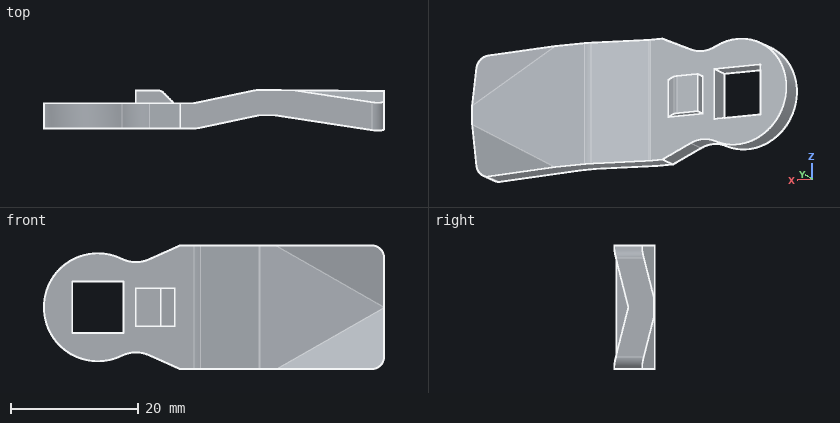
import cadquery as cq
import math

length = 53.5
width = 19.5
thickness = 4.0
half_width = width / 2

eye_radius = 8.5
square_side = 8.0
x_end = length - eye_radius

neck_radius = 5.05
neck_x = 6.0
shoulder_x = 12.95
corner_radius = 2.0

bend_1_x = 15.55
bend_2_x = 25.35
bend_angle = 12.0
blade_tilt = 0.5
inner_bend_radius = 1.0
outer_bend_radius = inner_bend_radius + thickness

lug_x = 5.95
lug_width = 6.0
lug_height = 2.0
boss_end_x = 11.95
boss_round = 1.0
pocket_ramp_x = 9.9
pocket_end_x = 12.1

front_fold_x = 27.95
back_fold_x = 30.6
flank_drop = 2.45

bend_slope = math.tan(math.radians(bend_angle))
tilt_slope = math.tan(math.radians(blade_tilt))
bend_2_y = (bend_2_x - bend_1_x) * bend_slope
blade_thickness = thickness / math.cos(math.radians(blade_tilt))


def blade_y(x):
    """Height of the blade's front face at x."""
    return bend_2_y - (x - bend_2_x) * tilt_slope


def extrude_along_z(sketch, total_width):
    """Solid of the given width, centred on Z = 0, from an XY profile."""
    return sketch.close().extrude(total_width / 2, both=True)


def bent_strip():
    shift_1 = thickness * math.tan(math.radians(bend_angle / 2))
    shift_2 = thickness * math.tan(math.radians((bend_angle - blade_tilt) / 2))
    back_1_x = bend_1_x - shift_1
    back_2_x = bend_2_x - shift_2
    profile = cq.Workplane("XY").polyline([
        (-eye_radius, 0),
        (bend_1_x, 0),
        (bend_2_x, bend_2_y),
        (x_end, blade_y(x_end)),
        (x_end, blade_y(x_end) + blade_thickness),
        (back_2_x, blade_y(back_2_x) + blade_thickness),
        (back_1_x, thickness),
        (-eye_radius, thickness),
    ])
    strip = extrude_along_z(profile, width)
    bends = [
        (bend_1_x, 0, outer_bend_radius),
        (back_1_x, thickness, inner_bend_radius),
        (bend_2_x, bend_2_y, inner_bend_radius),
        (back_2_x, blade_y(back_2_x) + blade_thickness, outer_bend_radius),
    ]
    for x, y, radius in bends:
        edge = cq.selectors.NearestToPointSelector((x, y, 0))
        strip = strip.edges("|Z").edges(edge).fillet(radius)
    return strip


def outline():
    """Plan shape, extruded through the full depth along Y."""
    centre_z = math.sqrt((eye_radius + neck_radius) ** 2 - neck_x ** 2)
    touch_scale = eye_radius / (eye_radius + neck_radius)
    eye_touch = (neck_x * touch_scale, centre_z * touch_scale)
    dx = shoulder_x - neck_x
    dz = half_width - centre_z
    tangent_angle = math.atan2(dz, dx) - math.acos(neck_radius / math.hypot(dx, dz))
    line_x = neck_x + neck_radius * math.cos(tangent_angle)
    line_z = centre_z + neck_radius * math.sin(tangent_angle)
    neck_low = (neck_x, centre_z - neck_radius)
    sketch = (
        cq.Workplane("XZ")
        .moveTo(eye_touch[0], -eye_touch[1])
        .threePointArc((-eye_radius, 0), eye_touch)
        .threePointArc(neck_low, (line_x, line_z))
        .lineTo(shoulder_x, half_width)
        .lineTo(x_end, half_width)
        .lineTo(x_end, -half_width)
        .lineTo(shoulder_x, -half_width)
        .lineTo(line_x, -line_z)
        .threePointArc((neck_low[0], -neck_low[1]), (eye_touch[0], -eye_touch[1]))
        .close()
    )
    plan = sketch.extrude(length / 2, both=True)
    return plan.edges("|Y and >X").fillet(corner_radius)


def tetrahedron(a, b, c, d):
    triangles = [(a, b, c), (a, b, d), (b, c, d), (a, c, d)]
    faces = [
        cq.Face.makeFromWires(cq.Wire.makePolygon([cq.Vector(*p) for p in triangle], close=True))
        for triangle in triangles
    ]
    return cq.Workplane(cq.Solid.makeSolid(cq.Shell.makeShell(faces)))


def flank_wedge(fold_x, y_offset, side):
    """Wedge between the flat blade face and the folded flank on one side."""
    fold_run = x_end - front_fold_x
    drop = flank_drop * (x_end - fold_x) / fold_run
    apex_z = half_width * (fold_x - front_fold_x) / fold_run
    end_y = blade_y(x_end) + y_offset
    return tetrahedron(
        (fold_x, blade_y(fold_x) + y_offset, side * half_width),
        (x_end, end_y, side * apex_z),
        (x_end, end_y, side * half_width),
        (x_end, end_y - drop, side * half_width),
    )


def boss():
    boss_top = thickness + lug_height
    profile = cq.Workplane("XY").polyline([
        (lug_x, thickness),
        (boss_end_x, thickness),
        (boss_end_x - lug_height, boss_top),
        (lug_x, boss_top),
    ])
    ramp_top = cq.selectors.NearestToPointSelector((boss_end_x - lug_height, boss_top, 0))
    return extrude_along_z(profile, lug_width).edges("|Z").edges(ramp_top).fillet(boss_round)


def pocket():
    profile = cq.Workplane("XY").polyline([
        (lug_x, 0),
        (pocket_end_x, 0),
        (pocket_ramp_x, lug_height),
        (lug_x, lug_height),
    ])
    return extrude_along_z(profile, lug_width)


plate = bent_strip()
for side in (-1, 1):
    plate = plate.union(flank_wedge(front_fold_x, 0, side))
    plate = plate.cut(flank_wedge(back_fold_x, blade_thickness, side))
plate = plate.intersect(outline())

square_hole = cq.Workplane("XZ").rect(square_side, square_side).extrude(length / 2, both=True)
result = plate.union(boss()).cut(pocket()).cut(square_hole)